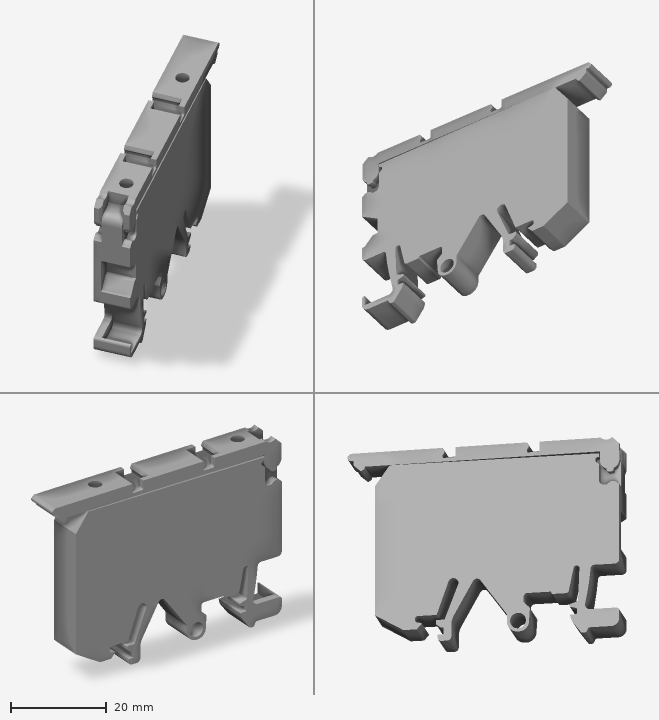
import cadquery as cq
import math


HOUSING_WIDTH = 8.1
HOUSING_LENGTH = 52.1
HOUSING_TOP = 39.1
LID_WIDTH = 7.85
LID_TOP = 42.6
LID_LENGTH = 58.0
LID_THICKNESS = 3.0
LID_TILT = 0.43
TILT_AXIS_Z = 36.85

HINGE_HALF_WIDTH = 2.25
HINGE_POCKET_DEPTH = 4.3
TONGUE_ROUND = 2.05

SKIN_INNER_X = -2.4
SIDE_MARGIN = 0.6

UNDERSIDE = 14.75
RAIL_REST = 8.9
FOOT_TOP = 5.1
EYE_Y, EYE_Z = 21.6, 3.5
EYE_OUTER_RADIUS = 2.4
EYE_HOLE_DIAMETER = 3.35

RECESS_BOTTOM, RECESS_TOP = 18.4, 26.9
RECESS_DEPTH = 3.95
RECESS_WALL_BOTTOM, RECESS_WALL_TOP = 20.65, 24.55
RECESS_SILL_LENGTH = 0.65
RECESS_RAMP_END = 2.8

TRAY_FLOOR = 2.55
TRAY_LIP = 0.65
TRAY_TOP = 6.4
TRAY_BACK = 8.05
TRAY_BACK_TOP = 7.25
TRAY_MOUTH_Y = 6.1
TRAY_FILLET = 1.1

LID_BOTTOM = LID_TOP - LID_THICKNESS
FLANGE_LENGTH = 4.1
FLANGE_BOTTOM = 35.65
FLANGE_ROUND = 2.0
NUB_HEIGHT = 0.6
HINGE_SLOT_DEPTH = 4.45
HINGE_SLOT_CHAMFER = 0.6
LID_HOLE_DIAMETER = 3.0
LID_HOLE_X = 0.45
LID_HOLE_YS = (8.05, 44.1)
GAP_YS = (17.1, 35.1)
GAP_DEPTH = 2.2
GAP_REACH = 2.55
GAP_RIDGE = 0.45
GAP_OVERLAP = 0.2
GAP_FLAP_X = 2.65
GAP_FILLET = 0.45


def rounded_outline(corners):
    """Closed YZ outline through (y, z, radius) corners, each rounded by its radius."""
    count = len(corners)
    stretches = []
    for i, (y, z, radius) in enumerate(corners):
        corner = cq.Vector(y, z)
        to_last = (cq.Vector(*corners[i - 1][:2]) - corner).normalized()
        to_next = (cq.Vector(*corners[(i + 1) % count][:2]) - corner).normalized()
        if radius == 0:
            stretches.append([corner])
            continue
        half_angle = to_last.getAngle(to_next) / 2
        setback = radius / math.tan(half_angle)
        bisector = (to_last + to_next).normalized()
        middle = corner + bisector * (radius / math.sin(half_angle) - radius)
        stretches.append([corner + to_last * setback, middle, corner + to_next * setback])
    outline = cq.Workplane("YZ").moveTo(*stretches[0][-1].toTuple()[:2])
    for stretch in stretches[1:] + stretches[:1]:
        outline = outline.lineTo(*stretch[0].toTuple()[:2])
        if len(stretch) > 1:
            outline = outline.threePointArc(stretch[1].toTuple()[:2], stretch[2].toTuple()[:2])
    return outline.wire()


def slab(corners, x_start, x_end):
    """Rounded outline extruded from x_start to x_end."""
    return rounded_outline(corners).extrude(x_end - x_start).translate((x_start, 0, 0))


REAR_END = [
    (49.0, HOUSING_TOP, 0),
    (HOUSING_LENGTH, 34.7, 0),
    (HOUSING_LENGTH, 6.45, 0),
    (46.0, 2.85, 0),
    (43.2, 2.85, 0),
    (42.0, 4.1, 0.1),
    (43.6, 4.45, 0.5),
    (43.45, 5.75, 0.5),
]
REAR_SPRING_ARM = [
    (38.95, 5.75, 0.3),
    (35.85, 14.45, 1.05),
    (34.1, 12.75, 0.85),
    (37.25, 4.65, 0.3),
    (39.1, 4.65, 0.25),
    (39.1, 3.7, 0.25),
    (38.05, 2.95, 0.1),
    (37.5, 2.95, 0.2),
    (37.5, 1.45, 0),
    (38.75, 1.45, 0),
    (38.75, 0, 0.85),
    (35.8, 0, 0.85),
    (35.8, 4.45, 4.65),
]
NOTCH_AND_EYE = [
    (30.45, 14.0, 0.9),
    (EYE_Y + EYE_OUTER_RADIUS, 5.05, 0.6),
    (EYE_Y + EYE_OUTER_RADIUS, EYE_Z - EYE_OUTER_RADIUS, EYE_OUTER_RADIUS - 0.05),
    (19.4, EYE_Z - EYE_OUTER_RADIUS, 2.1),
    (19.05, 6.15, 0.6),
    (20.35, 7.4, 0.2),
    (20.35, 9.4, 0.75),
    (14.55, 9.4, 0.1),
    (14.35, RAIL_REST, 0.1),
]
FRONT_SPRING_LEG = [
    (10.85, RAIL_REST, 0.7),
    (9.65, 14.8, 0.6),
    (8.5, 14.8, 0.6),
    (8.7, 8.7, 4.65),
    (8.8, 6.95, 0.45),
    (10.55, 6.45, 0.2),
    (10.55, 5.85, 0.1),
    (9.0, 5.45, 0.25),
    (9.0, 4.2, 0.25),
    (10.5, 4.1, 0),
    (10.2, 2.9, 1.15),
    (8.05, 0, 0.45),
    (7.1, 0, 0.45),
    (6.55, 1.1, 0.35),
    (0, 1.1, 1.75),
    (0, FOOT_TOP - 0.1, 0.6),
    (TRAY_LIP, FOOT_TOP, 0),
    (7.55, FOOT_TOP, 1.05),
    (6.45, 10.0, 58.05),
    (6.05, UNDERSIDE, 0.75),
]
FRONT_END = [
    (0, UNDERSIDE, 1.0),
    (0, HOUSING_TOP, TONGUE_ROUND),
]
HOUSING_OUTLINE = REAR_END + REAR_SPRING_ARM + NOTCH_AND_EYE + FRONT_SPRING_LEG + FRONT_END

HINGE_POCKET_OUTLINE = [
    (-SIDE_MARGIN, HOUSING_TOP + SIDE_MARGIN, 0),
    (HINGE_POCKET_DEPTH, HOUSING_TOP + SIDE_MARGIN, 0),
    (HINGE_POCKET_DEPTH, 38.3, 0),
    (5.1, 38.3, 0.5),
    (5.1, 37.45, 0.2),
    (HINGE_POCKET_DEPTH, 36.75, 0),
    (HINGE_POCKET_DEPTH, 32.15, 1.1),
    (2.65, 32.15, 0.2),
    (1.4, 33.25, 1.15),
    (0, 32.15, 0),
    (-SIDE_MARGIN, 32.15, 0),
]

WIRE_RECESS_OUTLINE = [
    (0, RECESS_BOTTOM, 0),
    (RECESS_SILL_LENGTH, RECESS_BOTTOM, 0),
    (RECESS_RAMP_END, RECESS_WALL_BOTTOM, 0),
    (RECESS_DEPTH, RECESS_WALL_BOTTOM, 0),
    (RECESS_DEPTH, RECESS_WALL_TOP, 0),
    (0, RECESS_TOP, 0),
]

TRAY_OUTLINE = [
    (TRAY_LIP, FOOT_TOP, 0),
    (TRAY_LIP, TRAY_FLOOR, 0),
    (TRAY_BACK, TRAY_FLOOR, TRAY_FILLET),
    (TRAY_BACK_TOP, TRAY_TOP, 0),
    (TRAY_MOUTH_Y, TRAY_TOP, 0),
    (TRAY_MOUTH_Y, FOOT_TOP, 0),
]


def build_housing():
    half_width = HOUSING_WIDTH / 2
    past_side = half_width + SIDE_MARGIN
    housing = slab(HOUSING_OUTLINE, -half_width, half_width)
    eye_hole = (
        cq.Workplane("YZ", origin=(-half_width, EYE_Y, EYE_Z))
        .circle(EYE_HOLE_DIAMETER / 2)
        .extrude(HOUSING_WIDTH)
    )
    housing = housing.cut(eye_hole)
    housing = housing.cut(slab(HINGE_POCKET_OUTLINE, -past_side, -HINGE_HALF_WIDTH))
    housing = housing.cut(slab(HINGE_POCKET_OUTLINE, HINGE_HALF_WIDTH, past_side))
    housing = housing.cut(slab(WIRE_RECESS_OUTLINE, SKIN_INNER_X, past_side))
    return housing.cut(slab(TRAY_OUTLINE, SKIN_INNER_X, past_side))


LATCH_END = [
    (57.3, LID_TOP, 0),
    (LID_LENGTH, LID_TOP - 0.65, 0.25),
    (LID_LENGTH, LID_TOP - 1.1, 0.35),
    (57.5, LID_TOP - 1.55, 0.1),
    (56.7, LID_TOP - 1.55, 0),
    (56.7, LID_TOP - 2.55, 0),
    (55.05, LID_TOP - 4.0, 0.25),
    (54.3, LID_TOP - 3.5, 0.2),
    (54.25, LID_BOTTOM, 0),
]
HINGE_FLANGE = [
    (FLANGE_LENGTH, LID_BOTTOM, 0),
    (FLANGE_LENGTH, FLANGE_BOTTOM, FLANGE_ROUND),
    (0, FLANGE_BOTTOM, FLANGE_ROUND),
    (0, LID_TOP - 1.45, 0),
    (1.5, LID_TOP, 0),
    (2.7, LID_TOP - 1.3, 1.6),
    (3.9, LID_TOP, 0),
]
FLANGE_NUB = [
    (2.7, FLANGE_BOTTOM + FLANGE_ROUND, 0),
    (2.7, FLANGE_BOTTOM - NUB_HEIGHT, 0.5),
    (1.2, FLANGE_BOTTOM - NUB_HEIGHT, 0.5),
    (1.2, FLANGE_BOTTOM + FLANGE_ROUND, 0),
]
LID_OUTLINE = LATCH_END + HINGE_FLANGE


def hinge_slot():
    """Slot between the two hinge flanges, flared at the front."""
    flare = HINGE_HALF_WIDTH + HINGE_SLOT_CHAMFER
    return (
        cq.Workplane("XY")
        .polyline([
            (-flare, 0),
            (-HINGE_HALF_WIDTH, HINGE_SLOT_CHAMFER),
            (-HINGE_HALF_WIDTH, HINGE_SLOT_DEPTH),
            (HINGE_HALF_WIDTH, HINGE_SLOT_DEPTH),
            (HINGE_HALF_WIDTH, HINGE_SLOT_CHAMFER),
            (flare, 0),
        ])
        .close()
        .extrude(LID_TOP + SIDE_MARGIN)
    )


def marker_gap(gap_y):
    """Z-shaped gap: one half and the same half turned about the vertical through its centre."""
    floor = LID_TOP - GAP_DEPTH
    half_outline = [
        (-GAP_OVERLAP, LID_TOP + SIDE_MARGIN, 0),
        (-GAP_OVERLAP, floor, GAP_FILLET),
        (GAP_REACH, floor, 0.25),
        (GAP_REACH, floor + 0.65, 0),
        (GAP_REACH - GAP_RIDGE, floor + 1.3, 0.1),
        (GAP_REACH, LID_TOP, 0),
        (GAP_REACH, LID_TOP + SIDE_MARGIN, 0),
    ]
    half = slab(half_outline, -LID_WIDTH / 2 - SIDE_MARGIN, GAP_FLAP_X)
    turned_half = half.rotate((0, 0, 0), (0, 0, 1), 180)
    middle = (
        cq.Workplane("XY", origin=(0, 0, floor))
        .rect(2 * GAP_FLAP_X, 2 * GAP_FILLET)
        .extrude(GAP_DEPTH)
    )
    return half.union(turned_half).union(middle).translate((0, gap_y, 0))


def build_lid():
    lid = slab(LID_OUTLINE, -LID_WIDTH / 2, LID_WIDTH / 2)
    lid = lid.union(slab(FLANGE_NUB, -LID_WIDTH / 2, LID_WIDTH / 2))
    lid = lid.cut(hinge_slot())
    for gap_y in GAP_YS:
        lid = lid.cut(marker_gap(gap_y))
    for hole_y in LID_HOLE_YS:
        hole = (
            cq.Workplane("XY", origin=(LID_HOLE_X, hole_y, LID_BOTTOM))
            .circle(LID_HOLE_DIAMETER / 2)
            .extrude(LID_THICKNESS)
        )
        lid = lid.cut(hole)
    return lid.rotate((0, 0, TILT_AXIS_Z), (1, 0, TILT_AXIS_Z), -LID_TILT)


housing = build_housing()
lid = build_lid()
result = cq.Compound.makeCompound([housing.solids().val(), lid.solids().val()])